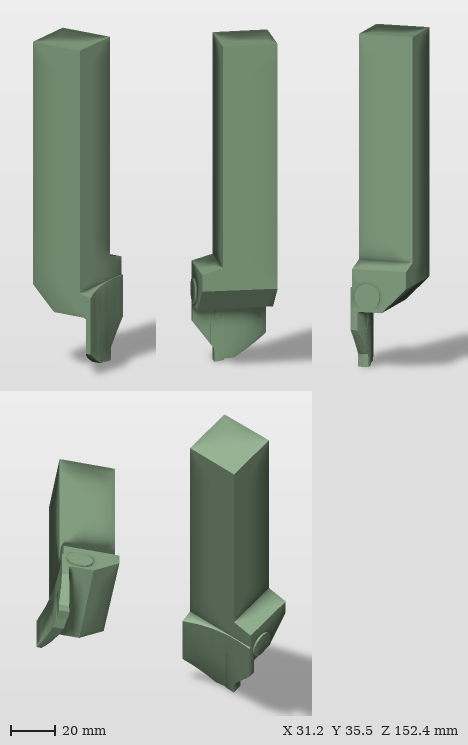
import cadquery as cq

total_height = 152.4
head_reach = 31.2
head_depth = 34.6
overall_depth = 35.5
shank_right = 25.6
shank_depth = 25.1
left_face_lean = 0.5

side_ledge_root = 38.1
side_ledge_tip = 36.5
back_ledge_root = 49.0
back_ledge_tip = 46.5
head_underside = 27.0
underside_left = 11.7
chamfer_top = head_underside + underside_left

blade_inner = 21.3
blade_inner_front = 29.0
inner_arc_y = 22.9
blade_outer = 25.9
outer_arc_y = 26.7
blade_root_radius = 1.0
blade_foot = 1.2
blade_foot_front = 15.7
blade_front_bottom = 10.2
blade_back_bottom = 18.5

insert_front = 20.5
insert_back = shank_depth
insert_height = 25.1
insert_shoulder = 26.7
shoulder_bottom = 8.0
shoulder_top = 17.7
shoulder_run = 1.4
tip_relief = 0.5
neck_bottom = 6.0
pad_height = 4.7
pad_proud = 0.3
pad_wide_front = 21.8
pad_narrow_front = 23.2

boss_diameter = 11.9
boss_x = 18.3
boss_z = 34.1

CLEAR = 7.6


def arc_radius(run, rise):
    """Radius of an arc that rises by `rise` at distance `run` from its tangent point."""
    return (run ** 2 + rise ** 2) / (2 * rise)


def arc_x(crest_x, crest_y, radius, y):
    """X at position y on an arc whose crest points toward -X."""
    return crest_x + radius - (radius ** 2 - (y - crest_y) ** 2) ** 0.5


inner_radius = arc_radius(inner_arc_y, blade_inner_front - blade_inner)
outer_radius = arc_radius(outer_arc_y, head_reach - blade_outer)


def front_prism():
    """Shank, head and blade block, seen along Y."""
    outline = [
        (0, total_height),
        (shank_right, total_height),
        (shank_right, side_ledge_root),
        (head_reach, side_ledge_tip),
        (head_reach, 0),
        (underside_left, 0),
        (underside_left, head_underside),
        (0, chamfer_top),
    ]
    return cq.Workplane("XZ").polyline(outline).close().extrude(-head_depth)


def side_prism():
    """Outline with the back ledge and the pointed blade, seen along X."""
    slope = (blade_back_bottom - neck_bottom) / (head_depth - insert_back)
    foot_back = insert_back - (neck_bottom - blade_foot) / slope
    outline = [
        (0, blade_front_bottom),
        (blade_foot_front, blade_foot),
        (foot_back, blade_foot),
        (head_depth, blade_back_bottom),
        (head_depth, back_ledge_tip),
        (shank_depth, back_ledge_root),
        (shank_depth, total_height),
        (0, total_height),
    ]
    return cq.Workplane("YZ").polyline(outline).close().extrude(head_reach)


def inner_relief():
    """Space below the head, bounded by the convex inner face of the blade."""
    back_x = arc_x(blade_inner, inner_arc_y, inner_radius, head_depth)
    return (
        cq.Workplane("XY")
        .moveTo(-CLEAR, 0)
        .lineTo(blade_inner_front, 0)
        .threePointArc((blade_inner, inner_arc_y), (back_x, head_depth))
        .lineTo(-CLEAR, head_depth)
        .close()
        .extrude(head_underside)
        .faces(">Z").edges(">X")
        .fillet(blade_root_radius)
    )


def outer_relief():
    """Space beside the concave outer face of the blade and head."""
    back_x = arc_x(blade_outer, outer_arc_y, outer_radius, head_depth)
    return (
        cq.Workplane("XY")
        .moveTo(head_reach, 0)
        .threePointArc((blade_outer, outer_arc_y), (back_x, head_depth))
        .lineTo(head_reach + CLEAR, head_depth)
        .lineTo(head_reach + CLEAR, 0)
        .close()
        .extrude(total_height)
    )


def left_lean():
    """Thin wedge that makes the left face lean inward toward the front."""
    return (
        cq.Workplane("XY")
        .polyline([(0, head_depth), (left_face_lean, 0), (0, 0)])
        .close()
        .extrude(total_height)
    )


def boss():
    return (
        cq.Workplane("XZ", origin=(boss_x, head_depth, boss_z))
        .circle(boss_diameter / 2)
        .extrude(head_depth - overall_depth)
    )


def insert_blank(left, right):
    """Insert outline, extruded between two X positions."""
    outline = [
        (insert_front, tip_relief),
        (insert_back, 0),
        (insert_back, neck_bottom),
        (insert_shoulder, shoulder_bottom),
        (insert_shoulder, shoulder_top),
        (insert_back, shoulder_top + shoulder_run),
        (insert_back, insert_height),
        (insert_front, insert_height - tip_relief),
    ]
    return (
        cq.Workplane("YZ", origin=(left, 0, 0))
        .polyline(outline).close()
        .extrude(right - left)
    )


def cutting_pad(end_z, direction):
    """Raised pad at one end of the insert, pointing away from end_z."""
    relief = tip_relief * (insert_back - pad_wide_front) / (insert_back - insert_front)
    outline = [
        (insert_back, end_z),
        (pad_wide_front, end_z + direction * relief),
        (pad_narrow_front, end_z + direction * pad_height),
        (insert_back, end_z + direction * pad_height),
    ]
    return (
        cq.Workplane("YZ", origin=(blade_inner, 0, 0))
        .polyline(outline).close()
        .extrude(-pad_proud)
    )


def make_holder():
    body = front_prism().intersect(side_prism())
    body = body.cut(inner_relief()).cut(outer_relief()).cut(left_lean())
    pocket = insert_blank(0, head_reach)
    return body.cut(pocket).union(boss())


def make_insert():
    body = insert_blank(blade_inner, blade_outer)
    for end_z, direction in ((0, 1), (insert_height, -1)):
        body = body.union(cutting_pad(end_z, direction))
    return body


holder = make_holder()
cutting_insert = make_insert()

result = cq.Compound.makeCompound([holder.val(), cutting_insert.val()])